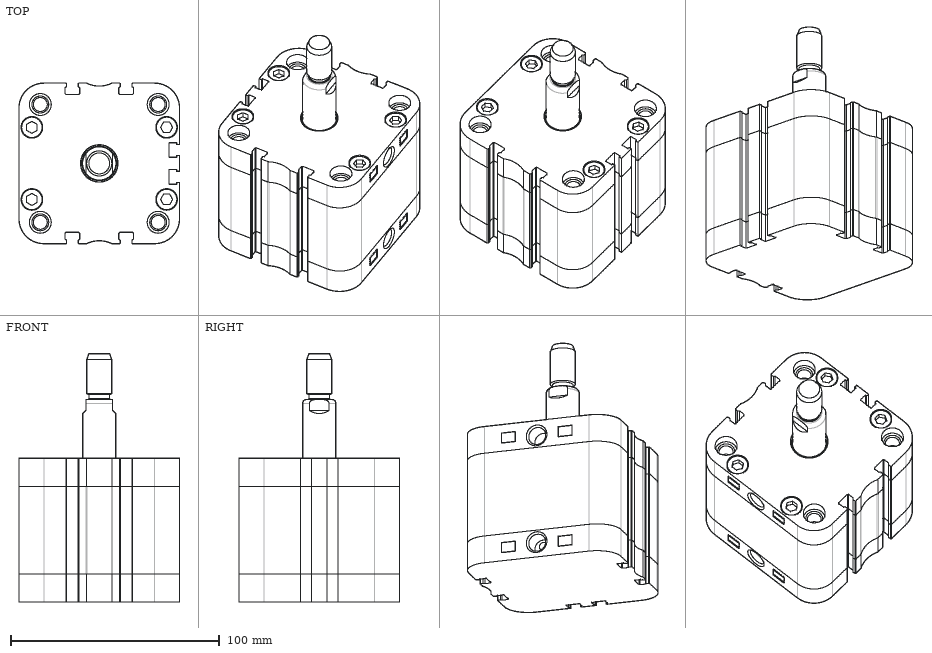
import cadquery as cq
import math

body_width = 77.0
half_width = body_width / 2
corner_radius = 12.0
cap_height = 13.6
tube_height = 41.9
top_cap_base = cap_height + tube_height

side_slot_offset = 12.9
side_slot_opening = 5.5
side_slot_width = 6.9
side_slot_lip = 1.7
side_slot_lip_slope = 0.6
side_slot_depth = 5.5
side_slot_bevel = 0.4

end_slot_offset = 6.4
end_slot_opening = 5.2
end_slot_width = 6.9
end_slot_lip = 1.4
end_slot_depth = 5.0

groove_half_width = 6.1
groove_depth = 1.4
groove_radius = (groove_half_width**2 + groove_depth**2) / (2 * groove_depth)
tube_groove_edge_radius = 1.4

port_diameter = 8.6
port_mouth_diameter = 10.5
port_depth = 10.0
port_height = 7.5
passage_diameter = 4.0
passage_height = 8.6
passage_depth = 15.0
label_length = 6.9
label_height = 5.0
label_offset = 14.4
label_depth = 0.5

mount_offset = 28.2
mount_bore_diameter = 10.5
mount_bore_depth = 5.0
mount_thread_diameter = 6.7
mount_mouth_diameter = 8.1

screw_offset_x = 32.2
screw_offset_y = 17.3
screw_bore_diameter = 10.4
screw_top_diameter = 9.8
screw_recess = 0.5
screw_edge_drop = 0.4
hex_sides = 6
hex_across_flats = 5.0
hex_depth = 2.7

rod_diameter = 16.0
rod_end_height = 119.0
rod_shoulder_height = 97.1
rod_shoulder_radius = 1.9
neck_diameter = 10.0
neck_top_height = 99.4
neck_base_bevel = 0.4
thread_diameter = 12.0
thread_lead_in = 0.5
thread_tip_diameter = 10.0
thread_tip_length = 2.7
flats_width = 12.9
flats_base_height = 91.9
flats_slope_height = 1.5

rod_gap_diameter = 16.5
rod_gap_depth = 2.0
rod_ring_diameter = 17.7
rod_ring_depth = 0.5
rod_mouth_diameter = 18.0


def side_slot_outline():
    """T-slot section that opens at y = 0 and runs toward -Y, with its mouth and floor corners bevelled."""
    half_opening = side_slot_opening / 2
    half_slot = side_slot_width / 2
    right_side = [
        (half_opening + side_slot_bevel, 0),
        (half_opening, -side_slot_bevel),
        (half_opening, -side_slot_lip),
        (half_slot, -side_slot_lip - side_slot_lip_slope),
        (half_slot, -side_slot_depth + side_slot_bevel),
        (half_slot - side_slot_bevel, -side_slot_depth),
    ]
    left_side = [(-x, y) for x, y in reversed(right_side)]
    return cq.Workplane("XY").polyline(right_side + left_side).close()


def end_slot_outline():
    """Plain T-slot section that opens at x = 0 and runs toward -X."""
    half_opening = end_slot_opening / 2
    half_slot = end_slot_width / 2
    upper_side = [
        (0, half_opening),
        (-end_slot_lip, half_opening),
        (-end_slot_lip, half_slot),
        (-end_slot_depth, half_slot),
    ]
    lower_side = [(x, -y) for x, y in reversed(upper_side)]
    return cq.Workplane("XY").polyline(upper_side + lower_side).close()


def body_section(height, groove_edge_radius=0.0):
    """Length of the slotted body, standing on z = 0, with optionally rounded groove edges."""
    section = cq.Workplane("XY").rect(body_width, body_width).extrude(height)
    section = section.edges("|Z").fillet(corner_radius)

    groove_centre = half_width - groove_depth + groove_radius
    for side in (-1, 1):
        groove = cq.Workplane("XY").center(0, side * groove_centre).circle(groove_radius).extrude(height)
        section = section.cut(groove)
    if groove_edge_radius > 0:
        for side in (-1, 1):
            for end in (-1, 1):
                corner = (end * groove_half_width, side * half_width, height / 2)
                groove_edge = cq.selectors.NearestToPointSelector(corner)
                section = section.edges(groove_edge).fillet(groove_edge_radius)

    side_slot = side_slot_outline().extrude(height)
    for offset in (-side_slot_offset, side_slot_offset):
        back_slot = side_slot.translate((offset, half_width, 0))
        section = section.cut(back_slot).cut(back_slot.mirror("XZ"))

    end_slot = end_slot_outline().extrude(height)
    for offset in (-end_slot_offset, end_slot_offset):
        section = section.cut(end_slot.translate((half_width, offset, 0)))
    return section


def cone(bottom_diameter, top_diameter, height, x, y, z):
    """Upright cone frustum with its base centred on (x, y, z)."""
    return cq.Workplane("XY").add(
        cq.Solid.makeCone(bottom_diameter / 2, top_diameter / 2, height, cq.Vector(x, y, z))
    )


def side_hole(diameter, depth, z):
    """Round hole along +X from the -X side."""
    return cq.Workplane("YZ", origin=(-half_width, 0, z)).circle(diameter / 2).extrude(depth)


def cut_port_side(cap):
    """Cut the air port and the two marking recesses in a cap standing on z = 0."""
    chamfer = (port_mouth_diameter - port_diameter) / 2
    mouth = cq.Workplane("XY").add(cq.Solid.makeCone(
        port_mouth_diameter / 2, port_diameter / 2, chamfer,
        cq.Vector(-half_width, 0, port_height), cq.Vector(1, 0, 0),
    ))
    cap = cap.cut(side_hole(port_diameter, port_depth, port_height)).cut(mouth)
    for offset in (-label_offset, label_offset):
        label = cq.Workplane("XY").box(2 * label_depth, label_length, label_height)
        cap = cap.cut(label.translate((-half_width, offset, cap_height / 2)))
    return cap


def cut_mounting_holes(cap):
    """Counterbored, threaded holes through the cap at its four corners."""
    bore_floor = cap_height - mount_bore_depth
    chamfer = (mount_mouth_diameter - mount_thread_diameter) / 2
    for x in (-mount_offset, mount_offset):
        for y in (-mount_offset, mount_offset):
            hole = cq.Workplane("XY").center(x, y).circle(mount_thread_diameter / 2).extrude(cap_height)
            bore = cq.Workplane("XY", origin=(x, y, bore_floor)).circle(mount_bore_diameter / 2)
            mouth = cone(mount_thread_diameter, mount_mouth_diameter, chamfer, x, y, bore_floor - chamfer)
            cap = cap.cut(hole).cut(bore.extrude(mount_bore_depth)).cut(mouth)
    return cap


def cut_screw_heads(cap):
    """Sunk heads with a bevelled rim and a hexagon socket."""
    head_top = cap_height - screw_recess
    rim_base = head_top - screw_edge_drop
    hex_circumscribed = hex_across_flats / math.cos(math.pi / hex_sides)
    for x in (-screw_offset_x, screw_offset_x):
        hex_turn = 90 if x < 0 else 0
        for y in (-screw_offset_y, screw_offset_y):
            bore = cq.Workplane("XY", origin=(x, y, rim_base)).circle(screw_bore_diameter / 2)
            head = cone(screw_bore_diameter, screw_top_diameter, screw_edge_drop, x, y, rim_base)
            socket = cq.Workplane("XY").polygon(hex_sides, hex_circumscribed).extrude(hex_depth)
            socket = socket.rotate((0, 0, 0), (0, 0, 1), hex_turn)
            cap = cap.cut(bore.extrude(cap_height - rim_base).cut(head))
            cap = cap.cut(socket.translate((x, y, head_top - hex_depth)))
    return cap


def cut_rod_opening(cap):
    """Rod bore with a stepped clearance ring at its top."""
    bevel = (rod_mouth_diameter - rod_ring_diameter) / 2
    bore = cq.Workplane("XY").circle(rod_diameter / 2).extrude(cap_height)
    gap = cq.Workplane("XY", origin=(0, 0, cap_height - rod_gap_depth)).circle(rod_gap_diameter / 2)
    ring = cq.Workplane("XY", origin=(0, 0, cap_height - rod_ring_depth)).circle(rod_ring_diameter / 2)
    mouth = cone(rod_ring_diameter, rod_mouth_diameter, bevel, 0, 0, cap_height - bevel)
    return cap.cut(bore).cut(gap.extrude(rod_gap_depth)).cut(ring.extrude(rod_ring_depth)).cut(mouth)


def make_bottom_cap():
    cap = cut_port_side(body_section(cap_height))
    return cap.cut(side_hole(passage_diameter, passage_depth, passage_height))


def make_tube():
    return body_section(tube_height, tube_groove_edge_radius).translate((0, 0, cap_height))


def make_top_cap():
    cap = cut_port_side(body_section(cap_height))
    cap = cap.rotate((0, 0, cap_height / 2), (1, 0, cap_height / 2), 180)
    cap = cut_mounting_holes(cap)
    cap = cut_screw_heads(cap)
    cap = cut_rod_opening(cap)
    return cap.translate((0, 0, top_cap_base))


def make_rod():
    rod_radius = rod_diameter / 2
    neck_radius = neck_diameter / 2
    thread_radius = thread_diameter / 2
    arc_reach = rod_shoulder_radius * math.sin(math.pi / 4)
    arc_centre_r = rod_radius - rod_shoulder_radius
    arc_centre_z = rod_shoulder_height - rod_shoulder_radius
    rod = (
        cq.Workplane("XZ")
        .moveTo(0, top_cap_base)
        .lineTo(rod_radius, top_cap_base)
        .lineTo(rod_radius, arc_centre_z)
        .threePointArc(
            (arc_centre_r + arc_reach, arc_centre_z + arc_reach),
            (arc_centre_r, rod_shoulder_height),
        )
        .lineTo(neck_radius + neck_base_bevel, rod_shoulder_height)
        .lineTo(neck_radius, rod_shoulder_height + neck_base_bevel)
        .lineTo(neck_radius, neck_top_height)
        .lineTo(thread_radius, neck_top_height + thread_lead_in)
        .lineTo(thread_radius, rod_end_height - thread_tip_length)
        .lineTo(thread_tip_diameter / 2, rod_end_height)
        .lineTo(0, rod_end_height)
        .close()
        .revolve(360, (0, 0), (0, 1))
    )
    return cut_wrench_flats(rod)


def cut_wrench_flats(rod):
    """Two flats facing -X and +X, each ending below in a slope."""
    inner = flats_width / 2
    outer = rod_diameter / 2
    slope_base = flats_base_height - flats_slope_height
    flat = (
        cq.Workplane("XZ")
        .polyline([
            (inner, flats_base_height),
            (outer, slope_base),
            (outer, rod_shoulder_height),
            (inner, rod_shoulder_height),
        ])
        .close()
        .extrude(outer, both=True)
    )
    return rod.cut(flat).cut(flat.mirror("YZ"))


bottom_cap = make_bottom_cap()
tube = make_tube()
top_cap = make_top_cap()
rod = make_rod()

result = cq.Compound.makeCompound([bottom_cap.val(), tube.val(), top_cap.val(), rod.val()])